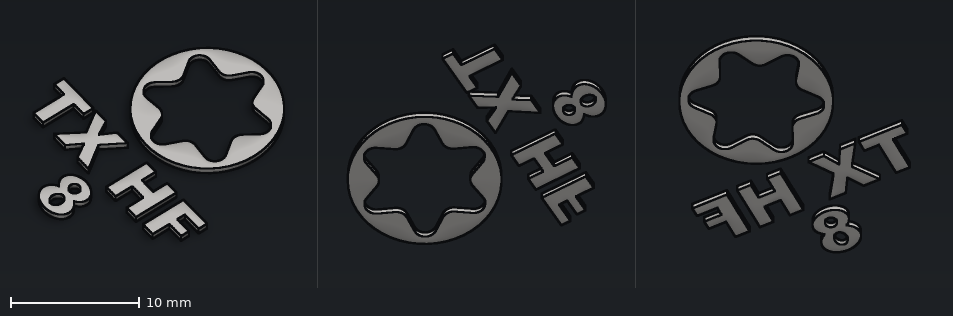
import cadquery as cq
import math

thickness = 0.6

ring_radius = 6.0
lobe_count = 6
lobe_reach = 5.3
valley_reach = 3.55
lobe_round = 0.9
tooth_round = 0.93

letter_height = 4.0
letter_top = -7.02
letter_bottom = letter_top - letter_height

t_left = -9.18
t_width = 3.75
t_stem = 1.24
t_bar = 0.97

x_centre = -3.1
x_top_half = 2.05
x_bottom_half = 2.2
x_top_notch_half = 0.7
x_bottom_notch_half = 0.77
x_waist_half = 0.8
x_waist_drop = 1.92
x_top_notch_drop = 1.28
x_bottom_notch_drop = 2.74

h_left = 1.37
h_width = 3.8
h_stem = 1.2
h_bar_drop = 1.37
h_bar = 1.0

f_left = 6.05
f_stem = 1.25
f_width = 3.02
f_arm_length = 2.75
f_bar = 0.84
f_arm_drop = 1.57
f_arm = 0.8

eight_bottom = -16.07
eight_height = 4.15
upper_half_width = 1.5
upper_half_height = 1.1
lower_half_width = 1.63
lower_half_height = 1.21
upper_hole_centre = -13.07
upper_hole_half = 0.46
lower_hole_centre = -14.8
lower_hole_half_width = 0.5
lower_hole_half_height = 0.62


def plate(outline):
    """Thicken a list of corner points into a plate."""
    return cq.Workplane("XY").polyline(outline).close().extrude(thickness)


def oval(centre_y, half_width, half_height):
    """Elliptical plate centred on the Y axis."""
    return (
        cq.Workplane("XY")
        .center(0, centre_y)
        .ellipse(half_width, half_height)
        .extrude(thickness)
    )


def polar(radius, angle):
    """Point at a radius and an angle measured from +Y towards +X."""
    return (radius * math.sin(angle), radius * math.cos(angle))


def make_opening():
    """Six rounded lobes joined to six rounded teeth by straight flanks tangent to both."""
    half_pitch = math.pi / lobe_count
    lobe_centre = (0, lobe_reach - lobe_round)
    tooth_centre = polar(valley_reach + tooth_round, half_pitch)
    across = tooth_centre[0] - lobe_centre[0]
    along = tooth_centre[1] - lobe_centre[1]
    spacing = math.hypot(across, along)
    normal_angle = math.atan2(along, across) + math.acos((lobe_round + tooth_round) / spacing)
    normal = (math.cos(normal_angle), math.sin(normal_angle))
    lobe_end = (lobe_centre[0] + lobe_round * normal[0], lobe_centre[1] + lobe_round * normal[1])
    tooth_start = (tooth_centre[0] - tooth_round * normal[0], tooth_centre[1] - tooth_round * normal[1])

    lobe_end_radius = math.hypot(*lobe_end)
    lobe_end_angle = math.atan2(*lobe_end)
    tooth_start_radius = math.hypot(*tooth_start)
    tooth_start_angle = math.atan2(*tooth_start)

    outline = cq.Workplane("XY").moveTo(*polar(lobe_end_radius, -lobe_end_angle))
    for index in range(lobe_count):
        lobe_angle = 2 * half_pitch * index
        next_angle = lobe_angle + 2 * half_pitch
        outline = (
            outline
            .threePointArc(polar(lobe_reach, lobe_angle), polar(lobe_end_radius, lobe_angle + lobe_end_angle))
            .lineTo(*polar(tooth_start_radius, lobe_angle + tooth_start_angle))
            .threePointArc(
                polar(valley_reach, lobe_angle + half_pitch),
                polar(tooth_start_radius, next_angle - tooth_start_angle),
            )
        )
        if index < lobe_count - 1:
            outline = outline.lineTo(*polar(lobe_end_radius, next_angle - lobe_end_angle))
    return outline.close().extrude(thickness)


def make_ring():
    disc = cq.Workplane("XY").circle(ring_radius).extrude(thickness)
    return disc.cut(make_opening())


def make_letter_t():
    right = t_left + t_width
    stem_left = t_left + (t_width - t_stem) / 2
    stem_right = stem_left + t_stem
    bar_bottom = letter_top - t_bar
    return plate([
        (t_left, letter_top),
        (right, letter_top),
        (right, bar_bottom),
        (stem_right, bar_bottom),
        (stem_right, letter_bottom),
        (stem_left, letter_bottom),
        (stem_left, bar_bottom),
        (t_left, bar_bottom),
    ])


def make_letter_x():
    waist = letter_top - x_waist_drop
    return plate([
        (x_centre - x_top_half, letter_top),
        (x_centre - x_top_notch_half, letter_top),
        (x_centre, letter_top - x_top_notch_drop),
        (x_centre + x_top_notch_half, letter_top),
        (x_centre + x_top_half, letter_top),
        (x_centre + x_waist_half, waist),
        (x_centre + x_bottom_half, letter_bottom),
        (x_centre + x_bottom_notch_half, letter_bottom),
        (x_centre, letter_top - x_bottom_notch_drop),
        (x_centre - x_bottom_notch_half, letter_bottom),
        (x_centre - x_bottom_half, letter_bottom),
        (x_centre - x_waist_half, waist),
    ])


def make_letter_h():
    right = h_left + h_width
    left_stem_edge = h_left + h_stem
    right_stem_edge = right - h_stem
    bar_top = letter_top - h_bar_drop
    bar_bottom = bar_top - h_bar
    return plate([
        (h_left, letter_top),
        (left_stem_edge, letter_top),
        (left_stem_edge, bar_top),
        (right_stem_edge, bar_top),
        (right_stem_edge, letter_top),
        (right, letter_top),
        (right, letter_bottom),
        (right_stem_edge, letter_bottom),
        (right_stem_edge, bar_bottom),
        (left_stem_edge, bar_bottom),
        (left_stem_edge, letter_bottom),
        (h_left, letter_bottom),
    ])


def make_letter_f():
    right = f_left + f_width
    stem_right = f_left + f_stem
    arm_right = f_left + f_arm_length
    bar_bottom = letter_top - f_bar
    arm_top = letter_top - f_arm_drop
    arm_bottom = arm_top - f_arm
    return plate([
        (f_left, letter_top),
        (right, letter_top),
        (right, bar_bottom),
        (stem_right, bar_bottom),
        (stem_right, arm_top),
        (arm_right, arm_top),
        (arm_right, arm_bottom),
        (stem_right, arm_bottom),
        (stem_right, letter_bottom),
        (f_left, letter_bottom),
    ])


def make_numeral_8():
    upper_centre = eight_bottom + eight_height - upper_half_height
    lower_centre = eight_bottom + lower_half_height
    upper_oval = oval(upper_centre, upper_half_width, upper_half_height)
    lower_oval = oval(lower_centre, lower_half_width, lower_half_height)
    upper_hole = oval(upper_hole_centre, upper_hole_half, upper_hole_half)
    lower_hole = oval(lower_hole_centre, lower_hole_half_width, lower_hole_half_height)
    return upper_oval.union(lower_oval).cut(upper_hole).cut(lower_hole)


ring = make_ring()
letter_t = make_letter_t()
letter_x = make_letter_x()
letter_h = make_letter_h()
letter_f = make_letter_f()
numeral_8 = make_numeral_8()

result = cq.Compound.makeCompound([
    ring.val(),
    letter_t.val(),
    letter_x.val(),
    letter_h.val(),
    letter_f.val(),
    numeral_8.val(),
])